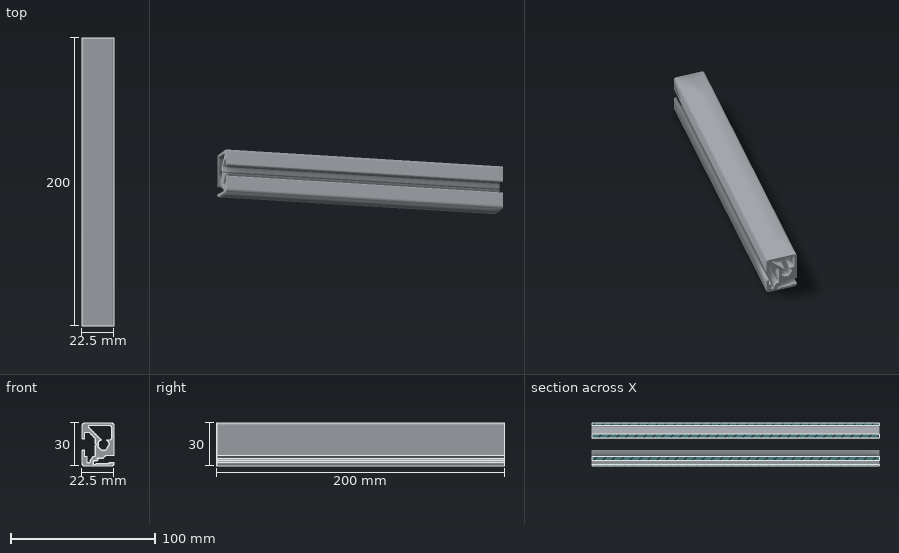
import cadquery as cq
import math

WIDTH = 22.5
LENGTH = 200.0
HEIGHT = 30.0
CORNER_RADIUS = 2.0
WALL = 1.8
MID_Z = HEIGHT / 2

WEB_HALF_SPAN = 1.5
UPPER_WEB_SUM = HEIGHT + WEB_HALF_SPAN
LOWER_WEB_SUM = HEIGHT - WEB_HALF_SPAN

BORE_LEFT = 11.5
BORE_RIGHT = 18.8
BORE_FLAT_HALF_HEIGHT = 1.8
BORE_FLOOR = 11.2
BORE_FLOOR_LEFT = 13.5
BORE_FLOOR_RIGHT = 16.5
BORE_MOUTH_LEFT = 13.0
BORE_MOUTH_RIGHT = 17.0
BORE_ARC_MIDDLE = (18.2, 17.0)
HOLLOW_FLOOR = 18.2
HOLLOW_RADIUS = 1.5
HOLLOW_TIP_RADIUS = 0.8

SLOT_HALF_OPENING = 3.8
SLOT_HALF_HEIGHT = 8.2
SLOT_BACK_X = 9.2
LIP_RADIUS = 0.8
MARK_HALF_HEIGHT = 0.8
MARK_DEPTH = 0.5

POCKET_LEFT = 3.5
POCKET_RIGHT = 5.5
POCKET_FLOOR = 2.5
POCKET_BEND = (5.8, 4.2)
POCKET_RAMP_TOP_X = 7.8

CHANNEL_TOP = 7.5
CHANNEL_STEP = 5.5
CHANNEL_RAMP_TOP_X = 16.5
CHANNEL_RAMP_BOTTOM_X = 14.5
HOOK_ROOT_X = 10.5
HOOK_TIP = (11.2, 4.5)
HOOK_BOTTOM = (10.2, 3.5)
CHANNEL_END_X = 8.0
GROOVE_DEPTH = 0.5
GROOVE_RIGHT_X = 9.8
LEDGE_X = 18.5
LEDGE_HEIGHT = 0.5

CUT_MARGIN = 2.0


def prism(points):
    """Extrude a closed XZ outline along the full length."""
    return cq.Workplane("XZ").polyline(points).close().extrude(-LENGTH)


def body():
    block = cq.Workplane("XY").box(WIDTH, LENGTH, HEIGHT, centered=False)
    return block.edges("|Y").fillet(CORNER_RADIUS)


def hollow():
    """Closed chamber between the diagonal web and the outer walls."""
    top = HEIGHT - WALL
    right = WIDTH - WALL
    left = UPPER_WEB_SUM - top
    chamber = prism([
        (left, top),
        (right, top),
        (right, HOLLOW_FLOOR),
        (UPPER_WEB_SUM - HOLLOW_FLOOR, HOLLOW_FLOOR),
    ])
    chamber = chamber.edges("|Y and >X").fillet(HOLLOW_RADIUS)
    return chamber.edges("|Y and <X").fillet(HOLLOW_TIP_RADIUS)


def bore():
    """Screw bore with flat faces at the left and bottom and a round upper right."""
    return (
        cq.Workplane("XZ")
        .moveTo(BORE_MOUTH_RIGHT, HOLLOW_FLOOR)
        .lineTo(BORE_MOUTH_LEFT, HOLLOW_FLOOR)
        .lineTo(BORE_LEFT, MID_Z + BORE_FLAT_HALF_HEIGHT)
        .lineTo(BORE_LEFT, MID_Z - BORE_FLAT_HALF_HEIGHT)
        .lineTo(BORE_FLOOR_LEFT, BORE_FLOOR)
        .lineTo(BORE_FLOOR_RIGHT, BORE_FLOOR)
        .lineTo(BORE_RIGHT, MID_Z)
        .threePointArc(BORE_ARC_MIDDLE, (BORE_MOUTH_RIGHT, HOLLOW_FLOOR))
        .close()
        .extrude(-LENGTH)
    )


def t_slot():
    """Undercut slot with a marking groove at its back and a pocket below."""
    top = MID_Z + SLOT_HALF_HEIGHT
    bottom = MID_Z - SLOT_HALF_HEIGHT
    return prism([
        (WALL, top),
        (LOWER_WEB_SUM - top, top),
        (SLOT_BACK_X, LOWER_WEB_SUM - SLOT_BACK_X),
        (SLOT_BACK_X, MID_Z + MARK_HALF_HEIGHT),
        (SLOT_BACK_X + MARK_DEPTH, MID_Z),
        (SLOT_BACK_X, MID_Z - MARK_HALF_HEIGHT),
        (SLOT_BACK_X, bottom),
        (POCKET_RAMP_TOP_X, bottom),
        POCKET_BEND,
        (POCKET_RIGHT, POCKET_FLOOR),
        (POCKET_LEFT, POCKET_FLOOR),
        (POCKET_LEFT, bottom),
        (WALL, bottom),
    ])


def slot_mouth():
    """Slot opening whose outer lip edges flare out with a rounded profile."""
    high = MID_Z + SLOT_HALF_OPENING
    low = MID_Z - SLOT_HALF_OPENING
    arc_x = LIP_RADIUS * (1 - math.sqrt(0.5))
    return (
        cq.Workplane("XZ")
        .moveTo(0, low - LIP_RADIUS)
        .threePointArc((arc_x, low - arc_x), (LIP_RADIUS, low))
        .lineTo(WALL + CUT_MARGIN, low)
        .lineTo(WALL + CUT_MARGIN, high)
        .lineTo(LIP_RADIUS, high)
        .threePointArc((arc_x, high + arc_x), (0, high + LIP_RADIUS))
        .close()
        .extrude(-LENGTH)
    )


def cover_channel():
    """Right-hand channel with a retaining hook and a raised bottom edge."""
    outside = WIDTH + CUT_MARGIN
    ledge_top = WALL + LEDGE_HEIGHT
    groove_floor = WALL - GROOVE_DEPTH
    return prism([
        (outside, CHANNEL_TOP),
        (CHANNEL_RAMP_TOP_X, CHANNEL_TOP),
        (CHANNEL_RAMP_BOTTOM_X, CHANNEL_STEP),
        (HOOK_ROOT_X, CHANNEL_STEP),
        HOOK_TIP,
        HOOK_BOTTOM,
        (CHANNEL_END_X, HOOK_BOTTOM[1]),
        (CHANNEL_END_X, groove_floor),
        (GROOVE_RIGHT_X, groove_floor),
        (GROOVE_RIGHT_X, WALL),
        (LEDGE_X, WALL),
        (LEDGE_X, ledge_top),
        (outside, ledge_top),
    ])


result = body()
for cutter in (hollow(), bore(), t_slot(), slot_mouth(), cover_channel()):
    result = result.cut(cutter)